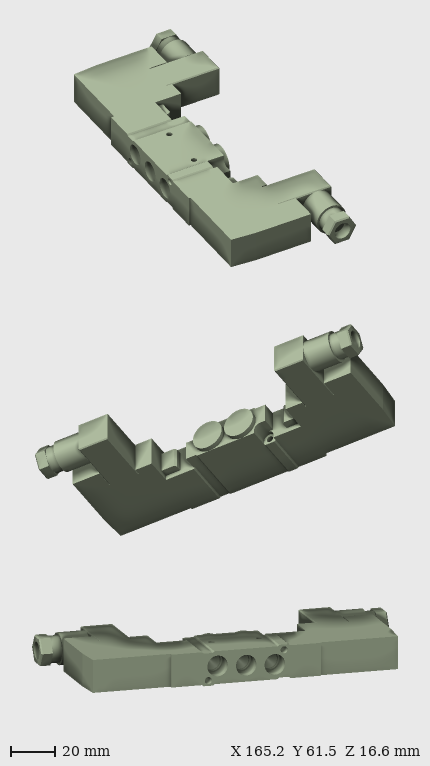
import cadquery as cq
import math


thickness = 15.4
half_thickness = thickness / 2
overall_height = 16.6
lug_height = (overall_height - thickness) / 2
groove_depth = 0.7
lug_center_x = 18.0
lug_base_width = 6.0
lug_tip_width = 4.4

body_length = 46.2
body_depth = 23.0
mount_x = 18.0
mount_z = 5.8
mount_dia = 3.3
counterbore_dia = 6.0
counterbore_depth = 2.0
port_pitch = 13.6
port_drop = 0.7
port_dia = 9.7
port_depth = 8.0
pilot_dia = 8.3
pilot_depth = 10.0
drill_point_angle = 90.0
top_hole_x = 11.27
top_hole_y = 16.5
top_hole_dia = 2.8
top_hole_depth = 5.0

block_length = 41.7
block_depth = 7.0
ring_pitch = 16.4
ring_dia = 15.2
ring_height = 2.5

adapter_end_x = 35.5
tab_length = 7.5
tab_depth = 4.0
tab_height = 10.4
tab_chamfer = 1.0

solenoid_end_x = 73.4
solenoid_front_y = 1.6
solenoid_rear_y = 42.8
solenoid_step_y = 36.6
taper_start_y = 14.1
taper_inset = 1.0

plug_inner_x = 44.0
plug_width = 15.4
plug_outer_x = plug_inner_x + plug_width
plug_front_y = 33.8
plug_rear_y = 61.51
plug_chamfer = 0.5
gland_dia = 15.0
gland_y = plug_rear_y - gland_dia / 2
gland_end_x = 72.5
neck_dia = 12.6
neck_end_x = 77.2

nut_end_x = 82.6
nut_corner_dia = 15.0
nut_bore_dia = 8.2
nut_chamfer = 0.6

right_side_shift_y = -0.75


def box(x_range, y_range, z_range):
    """Box between two limits on each axis."""
    size = [high - low for low, high in (x_range, y_range, z_range)]
    corner = (x_range[0], y_range[0], z_range[0])
    return cq.Workplane("XY").box(*size, centered=False).translate(corner)


def cylinder_along_y(x, z, diameter, y_start, length):
    return cq.Workplane("XY").add(
        cq.Solid.makeCylinder(diameter / 2, length, cq.Vector(x, y_start, z), cq.Vector(0, 1, 0))
    )


def cylinder_along_x(diameter, x_start, x_end):
    """Cylinder on the gland axis, running outward to -X from x_start to x_end."""
    base = cq.Vector(-x_start, gland_y, 0)
    solid = cq.Solid.makeCylinder(diameter / 2, x_end - x_start, base, cq.Vector(-1, 0, 0))
    return cq.Workplane("XY").add(solid)


def half_turn(shape):
    """Copy turned half a revolution about the Y axis."""
    return shape.rotate((0, 0, 0), (0, 1, 0), 180)


def mirrored(shape):
    return shape.mirror("YZ")


def trapezoid(center_x, base_width, tip_width, z_base, z_tip, depth):
    """Trapezoidal bar running along Y from the front face."""
    points = [
        (center_x - base_width / 2, z_base),
        (center_x + base_width / 2, z_base),
        (center_x + tip_width / 2, z_tip),
        (center_x - tip_width / 2, z_tip),
    ]
    return cq.Workplane("XZ").polyline(points).close().extrude(-depth)


def make_port(x, z):
    """Cutter for a port: wide bore, narrower pilot hole and drill point."""
    port_radius = port_dia / 2
    pilot_radius = pilot_dia / 2
    point_length = pilot_radius / math.tan(math.radians(drill_point_angle / 2))
    profile = [
        (0, 0),
        (port_radius, 0),
        (port_radius, port_depth),
        (pilot_radius, port_depth),
        (pilot_radius, pilot_depth),
        (0, pilot_depth + point_length),
    ]
    cutter = cq.Workplane("XY").polyline(profile).close().revolve(360, (0, 0, 0), (0, 1, 0))
    return cutter.translate((x, 0, z))


def make_valve_body():
    half_length = body_length / 2
    body = box((-half_length, half_length), (0, body_depth), (-half_thickness, half_thickness))

    lug = trapezoid(
        lug_center_x, lug_base_width, lug_tip_width,
        half_thickness, half_thickness + lug_height, body_depth,
    )
    groove = trapezoid(
        -lug_center_x, lug_base_width, lug_tip_width,
        half_thickness, half_thickness - groove_depth, body_depth,
    )
    hole = cylinder_along_y(mount_x, mount_z, mount_dia, 0, body_depth)
    counterbore_start = body_depth - counterbore_depth
    counterbore = cylinder_along_y(
        mount_x, mount_z, counterbore_dia, counterbore_start, counterbore_depth
    )
    lug_trim = box(
        (mount_x - counterbore_dia / 2, mount_x + counterbore_dia / 2),
        (counterbore_start, body_depth),
        (mount_z, overall_height),
    )
    body = body.union(lug).union(half_turn(lug))
    for cutter in (groove, hole, counterbore, lug_trim):
        body = body.cut(cutter).cut(half_turn(cutter))

    for step in (-1, 0, 1):
        body = body.cut(make_port(step * port_pitch, -step * port_drop))

    for x in (-top_hole_x, top_hole_x):
        top_hole = cq.Solid.makeCylinder(
            top_hole_dia / 2, top_hole_depth, cq.Vector(x, top_hole_y, half_thickness - top_hole_depth)
        )
        body = body.cut(cq.Workplane("XY").add(top_hole))
    return body


def make_outlet_block():
    half_length = block_length / 2
    rear_y = body_depth + block_depth
    y_range = (body_depth, rear_y)
    block = box((-half_length, half_length), y_range, (-half_thickness, half_thickness))

    radius = counterbore_dia / 2
    relief = cylinder_along_y(mount_x, mount_z, counterbore_dia, body_depth, block_depth)
    relief = relief.union(
        box((mount_x - radius, half_length), y_range, (mount_z, half_thickness))
    )
    relief = relief.union(box((mount_x, half_length), y_range, (mount_z - radius, half_thickness)))

    groove_inner_x = lug_center_x - lug_base_width / 2
    floor_inner_x = lug_center_x - lug_tip_width / 2
    floor_z = half_thickness - groove_depth
    groove_points = [
        (-groove_inner_x, half_thickness),
        (-floor_inner_x, floor_z),
        (-half_length, floor_z),
        (-half_length, half_thickness),
    ]
    groove = cq.Workplane("XZ", origin=(0, body_depth, 0))
    groove = groove.polyline(groove_points).close().extrude(-block_depth)
    for cutter in (relief, groove):
        block = block.cut(cutter).cut(half_turn(cutter))

    for x in (-ring_pitch / 2, ring_pitch / 2):
        block = block.union(cylinder_along_y(x, 0, ring_dia, rear_y, ring_height))
    return block


def make_adapter():
    adapter = box(
        (-adapter_end_x, -body_length / 2), (0, body_depth), (-half_thickness, half_thickness)
    )
    tab = box(
        (-adapter_end_x, -adapter_end_x + tab_length),
        (body_depth, body_depth + tab_depth),
        (-tab_height / 2, tab_height / 2),
    )
    tab = tab.edges("|Z and >X and >Y").chamfer(tab_chamfer)
    return adapter.union(tab)


def make_plug_shell():
    """Rectangular part of the plug, chamfered along its upper and lower edges."""
    shell = box(
        (-plug_outer_x, -plug_inner_x), (plug_front_y, plug_rear_y), (-half_thickness, half_thickness)
    )
    side_edges = shell.faces("<Z or >Z").edges("|Y")
    rear_edges = shell.faces(">Y").edges("|X")
    return shell.newObject(side_edges.vals() + rear_edges.vals()).chamfer(plug_chamfer)


def make_solenoid():
    outline = [
        (-adapter_end_x, solenoid_front_y),
        (-adapter_end_x, solenoid_step_y),
        (-plug_inner_x, solenoid_step_y),
        (-plug_inner_x, plug_front_y),
        (-plug_outer_x, plug_front_y),
        (-plug_outer_x, solenoid_rear_y),
        (-solenoid_end_x, solenoid_rear_y),
        (-solenoid_end_x, taper_start_y),
        (-solenoid_end_x + taper_inset, solenoid_front_y),
    ]
    solenoid = cq.Workplane("XY").polyline(outline).close().extrude(thickness)
    return solenoid.translate((0, 0, -half_thickness))


def make_plug():
    plug = make_plug_shell()
    plug = plug.union(cylinder_along_x(gland_dia, plug_outer_x, gland_end_x))
    return plug.union(cylinder_along_x(neck_dia, gland_end_x, neck_end_x))


def make_nut():
    """Hexagon nut with corners towards +Y and -Y and its outer end chamfered."""
    length = nut_end_x - neck_end_x
    nut = cq.Workplane("YZ", origin=(-nut_end_x, gland_y, 0))
    nut = nut.polygon(6, nut_corner_dia).extrude(length)
    nut = nut.faces("<X").chamfer(nut_chamfer)
    return nut.cut(cylinder_along_x(nut_bore_dia, neck_end_x, nut_end_x))


valve_body = make_valve_body()
outlet_block = make_outlet_block()
bodies = [valve_body.val(), outlet_block.val()]

left_adapter = make_adapter()
bodies += [left_adapter.val(), mirrored(left_adapter).val()]

for make_part in (make_solenoid, make_plug, make_nut):
    left_part = make_part()
    right_part = mirrored(left_part).translate((0, right_side_shift_y, 0))
    bodies += [left_part.val(), right_part.val()]

result = cq.Compound.makeCompound(bodies)